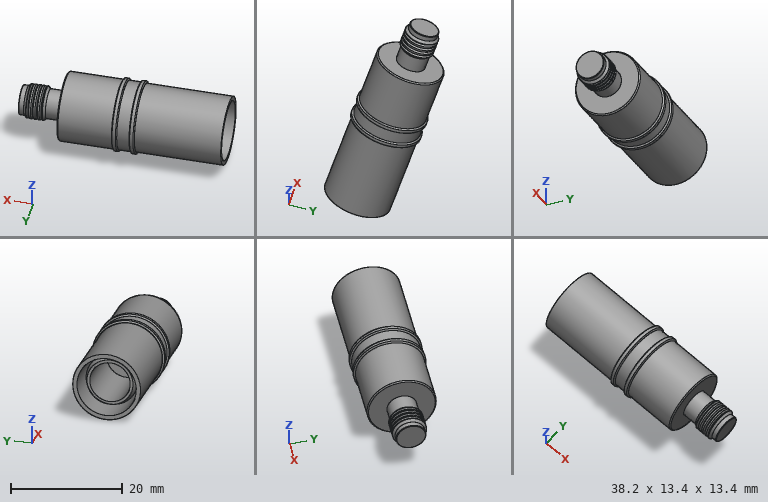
import cadquery as cq


total_length = 38.23

sleeve_radius = 6.3
barrel_radius = 6.4
ring_diameter = 13.4
ring_radius = ring_diameter / 2
ring_starts = [15.95, 19.2]
ring_width = 1.0
ring_chamfer_length = 0.2
barrel_start = ring_starts[0]
barrel_end = 30.3
barrel_end_chamfer = 0.23

mouth_radius = 5.5
mouth_floor = barrel_start

spigot_radius = 4.78
spigot_tip_radius = 4.3
spigot_bore_radius = 3.75
spigot_front = 2.5
spigot_taper_length = 1.35
spigot_base_thickness = 1.15
spigot_bore_floor = mouth_floor - spigot_base_thickness

neck_radius = 2.75
tip_chamfer = 0.1
thread_radius = 3.17
thread_root_radius = 2.83
thread_start = 33.22
thread_pitch = 0.8
thread_groove_count = 4
thread_groove_width = 0.45
thread_end_chamfer = 0.45
thread_length = (thread_groove_count + 1) * thread_pitch
thread_end = thread_start + thread_length


def revolve_about_x(outline):
    """Revolve a closed (x, radius) outline a full turn about the X axis."""
    return cq.Workplane("XY").polyline(outline).close().revolve(360, (0, 0, 0), (1, 0, 0))


def ring_points(start):
    """Corners of one raised ring with chamfered shoulders."""
    end = start + ring_width
    return [
        (start, barrel_radius),
        (start + ring_chamfer_length, ring_radius),
        (end - ring_chamfer_length, ring_radius),
        (end, barrel_radius),
    ]


def make_housing():
    """Sleeve and ringed barrel in one piece, with a hole for the connector neck."""
    outline = [(0, mouth_radius), (0, sleeve_radius), (barrel_start, sleeve_radius)]
    for start in ring_starts:
        outline += ring_points(start)
    outline += [
        (barrel_end - barrel_end_chamfer, barrel_radius),
        (barrel_end, barrel_radius - barrel_end_chamfer),
        (barrel_end, neck_radius),
        (mouth_floor, neck_radius),
        (mouth_floor, mouth_radius),
    ]
    return revolve_about_x(outline)


def thread_groove_points(center):
    """V groove between two thread crests."""
    half_width = thread_groove_width / 2
    return [
        (center - half_width, thread_radius),
        (center, thread_root_radius),
        (center + half_width, thread_radius),
    ]


def make_connector():
    """Spigot, neck and thread in one piece; the thread is a row of ring grooves."""
    outline = [
        (spigot_bore_floor, 0),
        (spigot_bore_floor, spigot_bore_radius),
        (spigot_front, spigot_bore_radius),
        (spigot_front, spigot_tip_radius),
        (spigot_front + spigot_taper_length, spigot_radius),
        (mouth_floor, spigot_radius),
        (mouth_floor, neck_radius),
        (thread_start, neck_radius),
        (thread_start + thread_end_chamfer, thread_radius),
    ]
    for i in range(thread_groove_count):
        outline += thread_groove_points(thread_start + (i + 1) * thread_pitch)
    outline += [
        (thread_end - thread_end_chamfer, thread_radius),
        (thread_end, neck_radius),
        (total_length - tip_chamfer, neck_radius),
        (total_length, neck_radius - tip_chamfer),
        (total_length, 0),
    ]
    return revolve_about_x(outline)


housing = make_housing()
connector = make_connector()

result = cq.Compound.makeCompound([housing.val(), connector.val()])